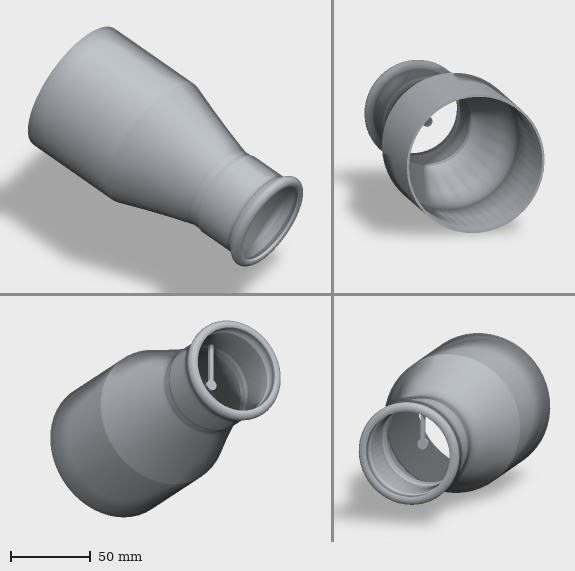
import cadquery as cq
import math


wall = 1.5
pipe_outer_d = 88.9
pipe_inner_d = pipe_outer_d - 2 * wall
neck_outer_d = 56.0
neck_inner_d = neck_outer_d - 2 * wall
socket_outer_d = 57.5
socket_inner_d = 54.4
mouth_d = 55.0
bead_outer_d = 65.6

pipe_end = 65.4
shoulder_end = 66.9
taper_end = 119.6
neck_end = 125.3
socket_start = 127.8
socket_end = 152.8
flare_end = 157.3
total_length = 163.0

shoulder_radius = 4.3
taper_sag = 0.5
bead_wall = 1.2
bead_radius = 3.5

bead_center_x = total_length - bead_radius
bead_center_height = bead_outer_d / 2 - bead_radius

groove_radius = bead_radius - bead_wall

tab_disc_d = 6.7
tab_stem_width = 2.5
tab_thickness = 2.5


def shoulder_drop(axial_distance):
    """Loss of radius along the shoulder arc, which starts parallel to the axis."""
    return shoulder_radius - math.sqrt(shoulder_radius**2 - axial_distance**2)


def bead_flare_point(arc_radius):
    """Point where the flare meets an arc concentric with the bead's section."""
    rise = math.sqrt(arc_radius**2 - (bead_center_x - flare_end)**2)
    return (flare_end, bead_center_height + rise)


def bead_mouth_point(arc_radius):
    """Point where such an arc, curling inward, reaches the mouth diameter."""
    reach = math.sqrt(arc_radius**2 - (bead_center_height - mouth_d / 2)**2)
    return (bead_center_x + reach, mouth_d / 2)


def bead_outermost_point(arc_radius):
    """Point of such an arc farthest along X."""
    return (bead_center_x + arc_radius, bead_center_height)


def taper_points(pipe_d, neck_d):
    """Points through which the shoulder and the taper pass, from pipe to neck."""
    shoulder_length = shoulder_end - pipe_end
    shoulder_mid = pipe_end + shoulder_length / 2
    start = (pipe_end, pipe_d / 2)
    shoulder_middle = (shoulder_mid, pipe_d / 2 - shoulder_drop(shoulder_length / 2))
    shoulder_tip = (shoulder_end, pipe_d / 2 - shoulder_drop(shoulder_length))
    tip = (taper_end, neck_d / 2)
    middle = ((shoulder_end + taper_end) / 2, (shoulder_tip[1] + tip[1]) / 2 - taper_sag)
    return start, shoulder_middle, shoulder_tip, middle, tip


def make_fitting():
    """Thin-walled fitting: one profile above the X axis, revolved about it."""
    outer = taper_points(pipe_outer_d, neck_outer_d)
    inner = taper_points(pipe_inner_d, neck_inner_d)
    profile = (
        cq.Workplane("XZ")
        .moveTo(0, pipe_outer_d / 2)
        .lineTo(*outer[0])
        .threePointArc(outer[1], outer[2])
        .threePointArc(outer[3], outer[4])
        .lineTo(neck_end, neck_outer_d / 2)
        .lineTo(socket_start, socket_outer_d / 2)
        .lineTo(socket_end, socket_outer_d / 2)
        .lineTo(*bead_flare_point(bead_radius))
        .threePointArc(bead_outermost_point(bead_radius), bead_mouth_point(bead_radius))
        .lineTo(*bead_mouth_point(groove_radius))
        .threePointArc(
            bead_outermost_point(groove_radius), bead_flare_point(groove_radius)
        )
        .lineTo(socket_end, socket_inner_d / 2)
        .lineTo(socket_start, socket_inner_d / 2)
        .lineTo(neck_end, neck_inner_d / 2)
        .lineTo(*inner[4])
        .threePointArc(inner[3], inner[2])
        .threePointArc(inner[1], inner[0])
        .lineTo(0, pipe_inner_d / 2)
        .close()
    )
    return profile.revolve(360, (0, 0, 0), (1, 0, 0))


def make_tab():
    """Disc on the axis with a stem up to the socket wall, at the socket's inner end."""
    plane = cq.Workplane("YZ", origin=(socket_start, 0, 0))
    disc = plane.circle(tab_disc_d / 2).extrude(tab_thickness)
    stem = (
        plane.center(0, socket_inner_d / 2)
        .rect(tab_stem_width, socket_inner_d)
        .extrude(tab_thickness)
    )
    socket_bore = plane.circle(socket_inner_d / 2).extrude(tab_thickness)
    return disc.union(stem.intersect(socket_bore))


fitting = make_fitting()
tab = make_tab()

result = cq.Compound.makeCompound([fitting.val(), tab.solids().val()])